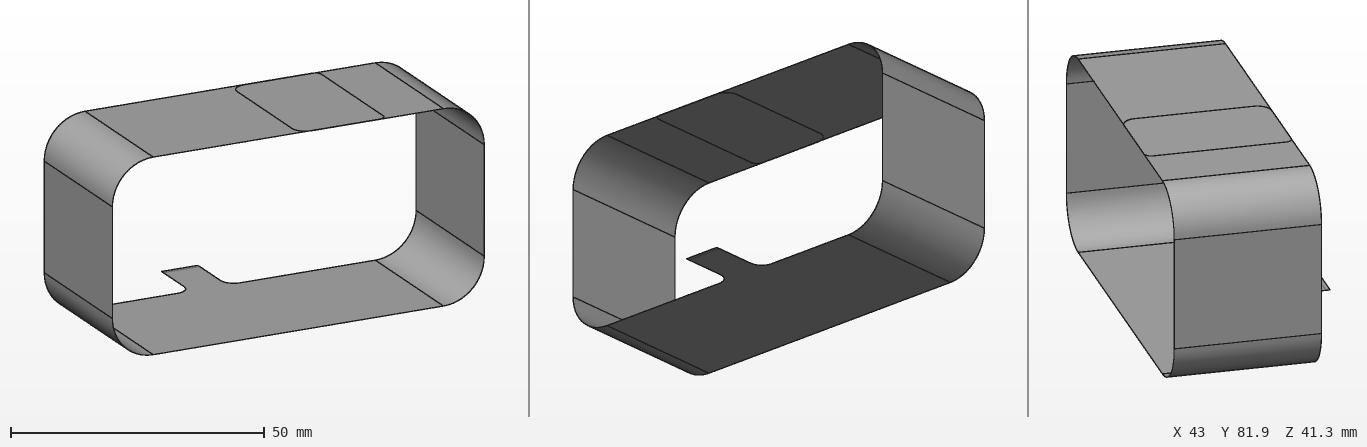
import cadquery as cq

BAND_LENGTH_Y = 81.9
BAND_HEIGHT = 41.3
BAND_WIDTH = 30.05
THICKNESS = 0.05
BEND_RADIUS = 9.0

LOWER_END_Y = 0.1
UPPER_END_Y = 19.4
LOWER_END_RADIUS = 2.95
UPPER_END_RADIUS = 1.5

TAB_LENGTH = 12.9
TAB_WIDTH = 8.0
TAB_Y = -4.7
TAB_FILLET = 2.95
TIP_BEVEL_LENGTH = 0.9
TIP_BEVEL_DEPTH = THICKNESS / 2

HALF_Y = BAND_LENGTH_Y / 2
BEND_Y = HALF_Y - BEND_RADIUS
LOWER_TOP_Z = BAND_HEIGHT - THICKNESS
BOTTOM_BEND_Z = BEND_RADIUS
LOWER_BEND_Z = LOWER_TOP_Z - BEND_RADIUS
UPPER_BEND_Z = BAND_HEIGHT - BEND_RADIUS


def slab(y_min, y_max, z_min, z_max):
    """A box as wide as the band, starting at X = 0."""
    box = cq.Workplane("XY").box(BAND_WIDTH, y_max - y_min, z_max - z_min, centered=False)
    return box.translate((0, y_min, z_min))


def bend(y_side, z_side, axis_z):
    """A quarter ring around an axis along X, in the corner given by the two signs."""
    ring = (
        cq.Workplane("YZ")
        .center(y_side * BEND_Y, axis_z)
        .circle(BEND_RADIUS)
        .circle(BEND_RADIUS - THICKNESS)
        .extrude(BAND_WIDTH)
    )
    y_range = sorted((y_side * BEND_Y, y_side * HALF_Y))
    z_range = sorted((axis_z, axis_z + z_side * BEND_RADIUS))
    return ring.intersect(slab(*y_range, *z_range))


def side_panel(y_side, top_bend_z):
    """A flat upright panel between the bottom bend and the top bend of one side."""
    y_range = sorted((y_side * HALF_Y, y_side * (HALF_Y - THICKNESS)))
    return slab(*y_range, BOTTOM_BEND_Z, top_bend_z)


def tip_bevel():
    """The wedge that thins the tip of the tab from above."""
    return (
        cq.Workplane("XZ", origin=(-TAB_LENGTH, TAB_Y, THICKNESS))
        .lineTo(TIP_BEVEL_LENGTH, 0)
        .lineTo(0, -TIP_BEVEL_DEPTH)
        .close()
        .extrude(TAB_WIDTH / 2, both=True)
    )


def bottom_panel():
    """The flat bottom with its pull tab, filleted at the root and bevelled at the tip."""
    tab = (
        cq.Workplane("XY")
        .box(TAB_LENGTH, TAB_WIDTH, THICKNESS, centered=(False, True, False))
        .translate((-TAB_LENGTH, TAB_Y, 0))
    )
    around_root = cq.selectors.BoxSelector(
        (-TAB_FILLET, TAB_Y - TAB_WIDTH, 0),
        (TAB_FILLET, TAB_Y + TAB_WIDTH, THICKNESS),
    )
    panel = slab(-BEND_Y, BEND_Y, 0, THICKNESS).union(tab)
    panel = panel.edges("|Z").edges(around_root).fillet(TAB_FILLET)
    return panel.cut(tip_bevel())


def lower_top_panel():
    """The inner end of the strip, coming from +Y."""
    panel = slab(LOWER_END_Y, BEND_Y, LOWER_TOP_Z - THICKNESS, LOWER_TOP_Z)
    return panel.edges("|Z and <Y").fillet(LOWER_END_RADIUS)


def upper_top_panel():
    """The outer end of the strip, coming from -Y and lying on the inner end."""
    panel = slab(-BEND_Y, UPPER_END_Y, LOWER_TOP_Z, BAND_HEIGHT)
    return panel.edges("|Z and >Y").fillet(UPPER_END_RADIUS)


bends = []
sides = []
for side, top_bend_z in ((-1, UPPER_BEND_Z), (1, LOWER_BEND_Z)):
    bends.append(bend(side, -1, BOTTOM_BEND_Z))
    bends.append(bend(side, 1, top_bend_z))
    sides.append(side_panel(side, top_bend_z))
bottom = bottom_panel()
lower_top = lower_top_panel()
upper_top = upper_top_panel()

bodies = [*bends, *sides, bottom, lower_top, upper_top]
result = cq.Compound.makeCompound([body.solids().val() for body in bodies])